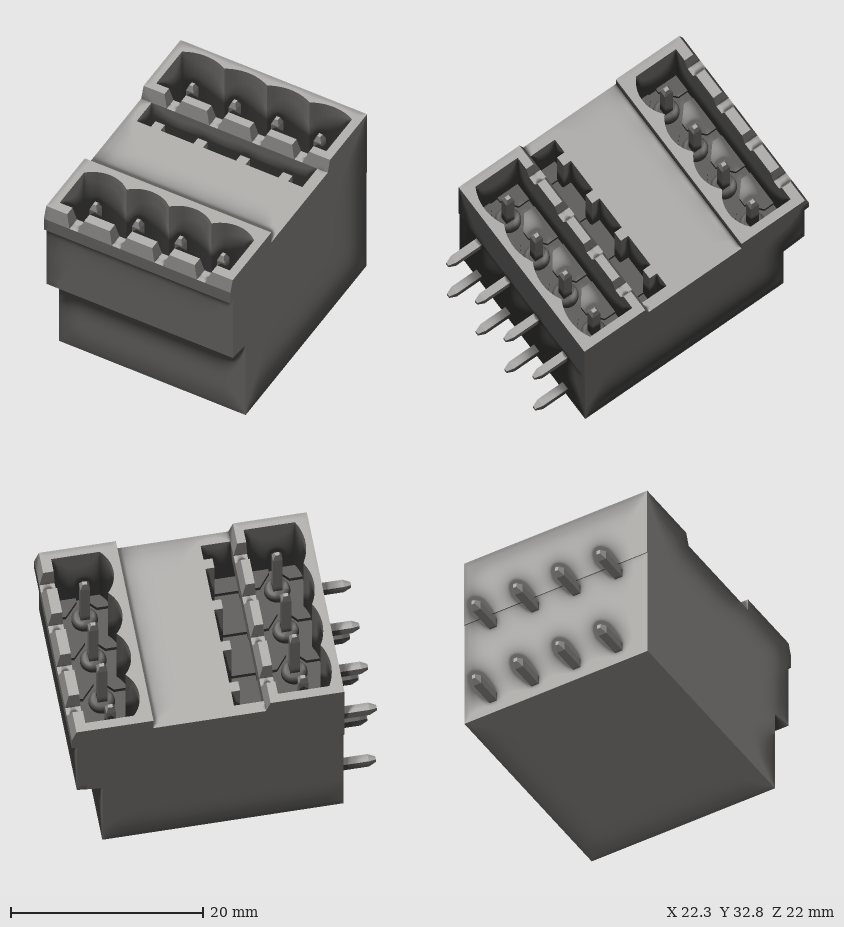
import cadquery as cq
import math

pitch = 5.1
contact_count = 4
row_spacing = 4 * pitch
tail_spacing = 2 * pitch
rear_row_y = 8.63
front_row_y = rear_row_y - row_spacing
contact_xs = [(i - (contact_count - 1) / 2) * pitch for i in range(contact_count)]

width = 22.3
height = 22.0
front_y = -16.4
nose_overhang = 0.52
nose_slope_run = 0.5
deck_z = 20.55
front_nose_bottom_z = 19.0
ledge_outer_z = 10.63
ledge_inner_z = 10.2
foot_front_y = -13.2
front_header_back_y = -7.77
rear_nose_y = front_y + row_spacing + 0.15
back_y = 12.4
foot_setback = 0.1
foot_top_z = 13.55

pocket_width = contact_count * pitch
pocket_floor_z = foot_top_z
pocket_front_offset = 3.08
front_scallop = (2.05, 3.05)
rear_scallop = (2.33, 3.0)

channel_depth = 0.5
keyway_width = 0.95
channel_half_width = 1.02
channel_knee_x = 2.1
channel_back_y = 1.48
cross_half_width = 0.5
front_throat_y = 1.9
rear_throat_y = 1.75

collar_diameter = 2.75
collar_top_diameter = 1.7
collar_height = 0.82

notch_top_width = 2.05

slot_width = 19.8
slot_front_y = 0.95
slot_floor_z = pocket_floor_z
tooth_tip_y = 1.9
tooth_width = 1.15
rear_nose_bottom_z = 18.35

pin_width = 0.92
pin_thickness = 1.02
pin_taper_inset = 0.25
contact_taper_length = 0.65
tail_taper_length = 0.8
pin_tip_z = 20.47
lower_tail_z = 1.97
upper_tail_z = lower_tail_z + tail_spacing
upper_tail_tip_y = 16.4
lower_tail_tip_y = upper_tail_tip_y - foot_setback


def box(x_range, y_range, z_range):
    (x0, x1), (y0, y1), (z0, z1) = x_range, y_range, z_range
    return cq.Workplane("XY").box(x1 - x0, y1 - y0, z1 - z0, centered=False).translate((x0, y0, z0))


def pin_tip(origin, direction, length):
    """Tapered pin end that grows from origin along direction."""
    base = cq.Plane(origin=origin, xDir=(1, 0, 0), normal=direction)
    taper = math.degrees(math.atan(pin_taper_inset / length))
    return cq.Workplane(base).rect(pin_width, pin_thickness).extrude(length, taper=taper)


def make_contact(x, row_y, tail_z, tail_tip_y):
    """L-shaped pin of rectangular section with a tapered end on each leg."""
    half = pin_thickness / 2
    top_z = pin_tip_z - contact_taper_length
    tail_y = tail_tip_y - tail_taper_length
    bent_bar = (
        cq.Workplane("YZ", origin=(x, 0, 0))
        .polyline([
            (row_y - half, tail_z - half),
            (tail_y, tail_z - half),
            (tail_y, tail_z + half),
            (row_y + half, tail_z + half),
            (row_y + half, top_z),
            (row_y - half, top_z),
        ])
        .close()
        .extrude(pin_width / 2, both=True)
    )
    contact_tip = pin_tip((x, row_y, top_z), (0, 0, 1), contact_taper_length)
    tail_tip = pin_tip((x, tail_y, tail_z), (0, 1, 0), tail_taper_length)
    return bent_bar.union(contact_tip).union(tail_tip)


def make_shell():
    """Solid housing block with both noses, the deck and the undercut front."""
    front_face_y = front_y + nose_overhang
    foot_back_y = back_y - foot_setback
    return (
        cq.Workplane("YZ")
        .polyline([
            (foot_front_y, 0),
            (foot_back_y, 0),
            (foot_back_y, foot_top_z),
            (back_y, foot_top_z),
            (back_y, height),
            (rear_nose_y + nose_slope_run, height),
            (rear_nose_y, deck_z),
            (front_header_back_y, deck_z),
            (front_header_back_y, height),
            (front_y + nose_slope_run, height),
            (front_y, deck_z),
            (front_y, front_nose_bottom_z),
            (front_face_y, front_nose_bottom_z),
            (front_face_y, ledge_outer_z),
            (foot_front_y, ledge_inner_z),
        ])
        .close()
        .extrude(width / 2, both=True)
    )


def pocket_outline(row_y, scallop, floor_z):
    """Pocket plan at floor_z: straight front and sides, one arc behind each contact."""
    cusp_y, crown_y = row_y + scallop[0], row_y + scallop[1]
    wall_y = row_y - pocket_front_offset
    outline = (
        cq.Workplane("XY", origin=(0, 0, floor_z))
        .moveTo(pocket_width / 2, wall_y)
        .lineTo(-pocket_width / 2, wall_y)
        .lineTo(-pocket_width / 2, cusp_y)
    )
    for x in contact_xs:
        outline = outline.threePointArc((x, crown_y), (x + pitch / 2, cusp_y))
    return outline.close()


def make_channel(row_y, scallop, throat_y):
    """Floor recess: a star around every contact, all linked by a cross channel."""
    floor_z = pocket_floor_z - channel_depth
    half_plan = [
        (keyway_width / 2, -pocket_front_offset),
        (keyway_width / 2, -throat_y),
        (channel_knee_x, -cross_half_width),
        (pitch / 2, -cross_half_width),
        (pitch / 2, cross_half_width),
        (channel_knee_x, cross_half_width),
        (channel_half_width, channel_back_y),
        (channel_half_width, pitch),
    ]
    plan = half_plan + [(-x, y) for x, y in reversed(half_plan)]
    channel = cq.Workplane("XY")
    for x in contact_xs:
        star = (
            cq.Workplane("XY", origin=(x, row_y, floor_z))
            .polyline(plan)
            .close()
            .extrude(channel_depth)
        )
        channel = channel.union(star)
    return channel.intersect(pocket_outline(row_y, scallop, floor_z).extrude(channel_depth))


def make_collar(x, row_y):
    """Round boss with a rounded top edge, standing in the channel."""
    return (
        cq.Workplane("XY", origin=(x, row_y, pocket_floor_z - channel_depth))
        .circle(collar_diameter / 2)
        .extrude(collar_height)
        .faces(">Z")
        .edges()
        .fillet((collar_diameter - collar_top_diameter) / 2)
    )


def make_notch(x, nose_y, wall_y):
    """V cut with a flat bottom at deck level, through a pocket front wall."""
    return (
        cq.Workplane("XZ", origin=(x, nose_y, 0))
        .polyline([
            (-keyway_width / 2, deck_z),
            (keyway_width / 2, deck_z),
            (notch_top_width / 2, height),
            (-notch_top_width / 2, height),
        ])
        .close()
        .extrude(nose_y - wall_y)
    )


def cut_row(housing, row_y, nose_y, scallop, throat_y):
    """Cut one row's pocket, channel and notches, and add its collars."""
    housing = housing.cut(pocket_outline(row_y, scallop, pocket_floor_z).extrude(height - pocket_floor_z))
    housing = housing.cut(make_channel(row_y, scallop, throat_y))
    for x in contact_xs:
        housing = housing.union(make_collar(x, row_y))
        housing = housing.cut(make_notch(x, nose_y, row_y - pocket_front_offset))
    return housing


def make_latch_slot():
    """Slot ahead of the rear header, with teeth left standing and the nose undercut."""
    slot_x = (-slot_width / 2, slot_width / 2)
    slot = box(slot_x, (slot_front_y, rear_nose_y), (slot_floor_z, deck_z))
    undercut_y = rear_nose_y + nose_overhang
    slot = slot.union(box(slot_x, (rear_nose_y, undercut_y), (slot_floor_z, rear_nose_bottom_z)))
    for x in contact_xs:
        tooth_x = (x - tooth_width / 2, x + tooth_width / 2)
        slot = slot.cut(box(tooth_x, (slot_front_y, tooth_tip_y), (slot_floor_z, deck_z)))
        groove_x = (x - keyway_width / 2, x + keyway_width / 2)
        groove_z = (slot_floor_z - channel_depth, slot_floor_z)
        slot = slot.union(box(groove_x, (tooth_tip_y, undercut_y), groove_z))
    return slot


def make_housing(contacts):
    housing = make_shell()
    housing = cut_row(housing, front_row_y, front_y, front_scallop, front_throat_y)
    housing = cut_row(housing, rear_row_y, rear_nose_y, rear_scallop, rear_throat_y)
    housing = housing.cut(make_latch_slot())
    for contact in contacts:
        housing = housing.cut(contact)
    return housing


contacts = []
for x in contact_xs:
    contacts.append(make_contact(x, front_row_y, lower_tail_z, lower_tail_tip_y))
    contacts.append(make_contact(x, rear_row_y, upper_tail_z, upper_tail_tip_y))

housing = make_housing(contacts)

result = cq.Compound.makeCompound([
    housing.solids().val(),
    *[contact.solids().val() for contact in contacts],
])